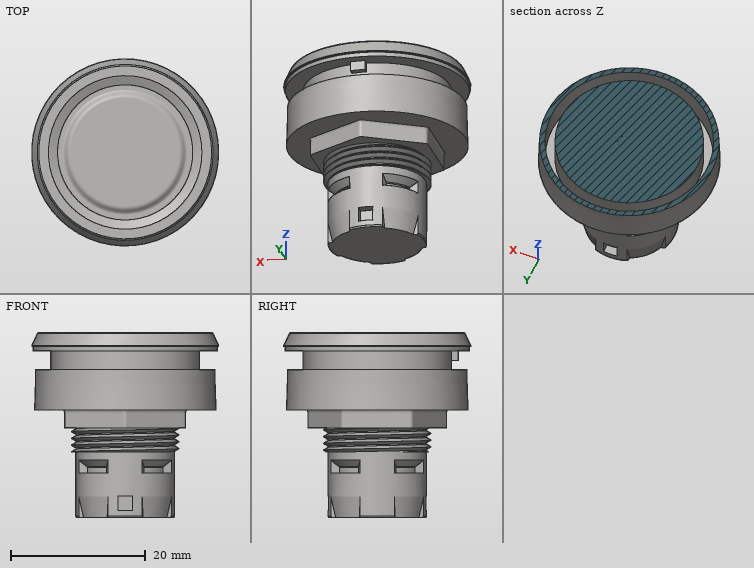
import cadquery as cq
import math

THREAD_BOTTOM = 9.76
NUT_BOTTOM = 13.33
BODY_BOTTOM = 15.97
BODY_SEAM = 19.95
BODY_TOP = 21.98
BEZEL_BOTTOM = 24.75
TOP = 27.55

BARREL_RADIUS = 7.35
BARREL_CHAMFER_HEIGHT = 0.25
BARREL_CHAMFER_WIDTH = 0.1
POCKET_HALF_WIDTH = 3.1
POCKET_SIDE_ANGLE = 57.0
WINDOW_BOTTOM = 6.65
WINDOW_TOP = 8.55
WINDOW_ROOF_BOTTOM = 7.6
WINDOW_LIP_BOTTOM = 7.43
WINDOW_LIP_RADIUS = 6.35
WINDOW_FLOOR_RADIUS = 6.25
NOTCH_TOP = 3.05
NOTCH_BOTTOM_RADIUS = 6.73
SQUARE_HOLE_SIZE = 2.17
SQUARE_HOLE_DEPTH = 1.5
SQUARE_HOLE_CENTER = 2.15

THREAD_RADIUS = 8.0
THREAD_PITCH = 1.0
THREAD_ROOT_WIDTH = 0.9
THREAD_OVERLAP = 0.05

NUT_ACROSS_FLATS = 18.0
NUT_CORNER_RADIUS = 0.58
NUT_FLARE_WIDTH = 0.1
NUT_FLARE_HEIGHT = 0.35

BODY_RADIUS = 13.38
BODY_BOTTOM_RADIUS = 13.52
NECK_RADIUS = 11.07
GAP_RADIUS = 12.5
GAP_FLOOR = 16.7
LIP_RADIUS = 13.7
RIM_RADIUS = 13.9
RIM_BOTTOM = 25.4
RIM_TOP = 25.57
BEZEL_OUTER_EDGE_RADIUS = 13.08
BEZEL_TOP_OUTER_RADIUS = 12.85
BEZEL_OUTER_EDGE_DROP = 0.2
BEZEL_TOP_INNER_RADIUS = 11.4
BEZEL_INNER_EDGE_RADIUS = 11.18
BEZEL_INNER_EDGE_DROP = 0.08

GROOVE_FLOOR = 26.87
GROOVE_OUTER_RADIUS = 10.05
GROOVE_INNER_RADIUS = 9.26
BUTTON_FOOT_RADIUS = 8.95
BUTTON_FOOT_HEIGHT = 0.15
BUTTON_SHOULDER_RADIUS = 8.62
BUTTON_SHOULDER_DROP = 0.22
BUTTON_TOP_RADIUS = 8.07

KEY_REACH = 12.07
KEY_WIDTH = 2.23
KEY_HEIGHT = 1.42

OVERLAP = 0.28


def revolve(profile):
    """Full turn about Z of a closed profile drawn as (radius, height)."""
    return profile.close().revolve(360, (0, 0, 0), (0, 1, 0))


def make_head():
    """Body, neck, bezel and button as one turned piece, with an annular gap around the neck."""
    profile = (
        cq.Workplane("XZ")
        .moveTo(0, TOP)
        .lineTo(BUTTON_TOP_RADIUS, TOP)
        .tangentArcPoint((BUTTON_SHOULDER_RADIUS, TOP - BUTTON_SHOULDER_DROP), relative=False)
        .lineTo(BUTTON_FOOT_RADIUS, GROOVE_FLOOR + BUTTON_FOOT_HEIGHT)
        .tangentArcPoint((GROOVE_INNER_RADIUS, GROOVE_FLOOR), relative=False)
        .lineTo(GROOVE_OUTER_RADIUS, GROOVE_FLOOR)
        .lineTo(BEZEL_INNER_EDGE_RADIUS, TOP - BEZEL_INNER_EDGE_DROP)
        .lineTo(BEZEL_TOP_INNER_RADIUS, TOP)
        .lineTo(BEZEL_TOP_OUTER_RADIUS, TOP)
        .lineTo(BEZEL_OUTER_EDGE_RADIUS, TOP - BEZEL_OUTER_EDGE_DROP)
        .lineTo(RIM_RADIUS, RIM_TOP)
        .lineTo(RIM_RADIUS, RIM_BOTTOM)
        .lineTo(LIP_RADIUS, RIM_BOTTOM)
        .lineTo(LIP_RADIUS, BEZEL_BOTTOM)
        .lineTo(NECK_RADIUS, BEZEL_BOTTOM)
        .lineTo(NECK_RADIUS, GAP_FLOOR)
        .lineTo(GAP_RADIUS, GAP_FLOOR)
        .lineTo(GAP_RADIUS, BODY_TOP)
        .lineTo(BODY_RADIUS, BODY_TOP)
        .lineTo(BODY_RADIUS, BODY_SEAM)
        .lineTo(BODY_BOTTOM_RADIUS, BODY_BOTTOM)
        .lineTo(0, BODY_BOTTOM)
    )
    return revolve(profile)


def make_key():
    """Key on the +Y side of the neck, hanging below the bezel."""
    return (
        cq.Workplane("XY", origin=(0, 0, BEZEL_BOTTOM - KEY_HEIGHT))
        .center(0, KEY_REACH / 2)
        .rect(KEY_WIDTH, KEY_REACH)
        .extrude(KEY_HEIGHT + OVERLAP)
    )


def make_nut():
    """Hexagonal nut with corners on the Y axis, flaring out where it meets the body."""
    across_corners = NUT_ACROSS_FLATS / math.cos(math.pi / 6)
    sketch = cq.Sketch().regularPolygon(across_corners / 2, 6).vertices().fillet(NUT_CORNER_RADIUS)
    nut = (
        cq.Workplane("XY", origin=(0, 0, NUT_BOTTOM))
        .placeSketch(sketch)
        .extrude(BODY_BOTTOM - NUT_BOTTOM + OVERLAP)
    )
    flare_angle = math.degrees(math.atan2(NUT_FLARE_WIDTH, NUT_FLARE_HEIGHT))
    flare = (
        cq.Workplane("XY", origin=(0, 0, BODY_BOTTOM - NUT_FLARE_HEIGHT))
        .placeSketch(sketch)
        .extrude(NUT_FLARE_HEIGHT, taper=-flare_angle)
    )
    return nut.union(flare)


def make_thread():
    """Right-hand ridge with its crest at the lower end of the thread on the -X side."""
    start = THREAD_BOTTOM - THREAD_PITCH
    root_radius = BARREL_RADIUS - THREAD_OVERLAP
    length = NUT_BOTTOM - start + THREAD_PITCH
    path = cq.Wire.makeHelix(THREAD_PITCH, length, root_radius)
    half_root = THREAD_ROOT_WIDTH / 2
    ridge = (
        cq.Workplane("XZ")
        .polyline([(root_radius, -half_root), (THREAD_RADIUS, 0), (root_radius, half_root)])
        .close()
        .sweep(cq.Workplane(path), isFrenet=True)
        .rotate((0, 0, 0), (0, 0, 1), 180)
        .translate((0, 0, start))
    )
    threaded_length = (
        cq.Workplane("XY", origin=(0, 0, THREAD_BOTTOM))
        .circle(THREAD_RADIUS + OVERLAP)
        .extrude(NUT_BOTTOM - THREAD_BOTTOM + THREAD_OVERLAP)
    )
    return ridge.intersect(threaded_length)


def make_barrel():
    """Barrel with a chamfered lower end, running up into the body."""
    profile = (
        cq.Workplane("XZ")
        .lineTo(BARREL_RADIUS - BARREL_CHAMFER_WIDTH, 0)
        .lineTo(BARREL_RADIUS, BARREL_CHAMFER_HEIGHT)
        .lineTo(BARREL_RADIUS, BODY_BOTTOM + OVERLAP)
        .lineTo(0, BODY_BOTTOM + OVERLAP)
    )
    return revolve(profile)


def make_pocket_wedge():
    """Upright prism along +X that bounds a pocket sideways, narrowing toward the axis."""
    mouth = math.sqrt(BARREL_RADIUS**2 - POCKET_HALF_WIDTH**2)
    apex = mouth - POCKET_HALF_WIDTH / math.tan(math.radians(POCKET_SIDE_ANGLE))
    end = BARREL_RADIUS + OVERLAP
    return (
        cq.Workplane("XY", origin=(0, 0, -OVERLAP))
        .polyline([
            (apex, 0),
            (mouth, POCKET_HALF_WIDTH),
            (end, POCKET_HALF_WIDTH),
            (end, -POCKET_HALF_WIDTH),
            (mouth, -POCKET_HALF_WIDTH),
        ])
        .close()
        .extrude(WINDOW_TOP + 2 * OVERLAP)
    )


def make_window_cutter():
    """Window with a cylindrical back and a roof that rises outward above a narrow lip."""
    roof_slope = (WINDOW_TOP - WINDOW_ROOF_BOTTOM) / (BARREL_RADIUS - WINDOW_LIP_RADIUS)
    end = BARREL_RADIUS + OVERLAP
    profile = (
        cq.Workplane("XZ")
        .moveTo(WINDOW_FLOOR_RADIUS, WINDOW_BOTTOM)
        .lineTo(end, WINDOW_BOTTOM)
        .lineTo(end, WINDOW_TOP + OVERLAP * roof_slope)
        .lineTo(WINDOW_LIP_RADIUS, WINDOW_ROOF_BOTTOM)
        .lineTo(WINDOW_FLOOR_RADIUS, WINDOW_LIP_BOTTOM)
    )
    return revolve(profile).intersect(make_pocket_wedge())


def make_notch_cutter():
    """Notch at the lower end that leaves a cone narrowing downward."""
    end = BARREL_RADIUS + OVERLAP
    profile = (
        cq.Workplane("XZ")
        .moveTo(NOTCH_BOTTOM_RADIUS, 0)
        .lineTo(end, 0)
        .lineTo(end, NOTCH_TOP)
        .lineTo(BARREL_RADIUS, NOTCH_TOP)
    )
    return revolve(profile).intersect(make_pocket_wedge())


def make_square_hole_cutter(side):
    """Square blind hole on the -Y (side = -1) or +Y (side = 1) face of the barrel."""
    reach = SQUARE_HOLE_DEPTH + OVERLAP
    center_y = side * (BARREL_RADIUS - SQUARE_HOLE_DEPTH + reach / 2)
    block = cq.Workplane("XY").box(SQUARE_HOLE_SIZE, reach, SQUARE_HOLE_SIZE)
    return block.translate((0, center_y, SQUARE_HOLE_CENTER))


barrel = make_barrel()
window = make_window_cutter()
notch = make_notch_cutter()
for angle in (45, 135, 225, 315):
    barrel = barrel.cut(window.rotate((0, 0, 0), (0, 0, 1), angle))
    barrel = barrel.cut(notch.rotate((0, 0, 0), (0, 0, 1), angle))
for side in (-1, 1):
    barrel = barrel.cut(make_square_hole_cutter(side))

result = barrel.union(make_nut()).union(make_head()).union(make_key()).union(make_thread())